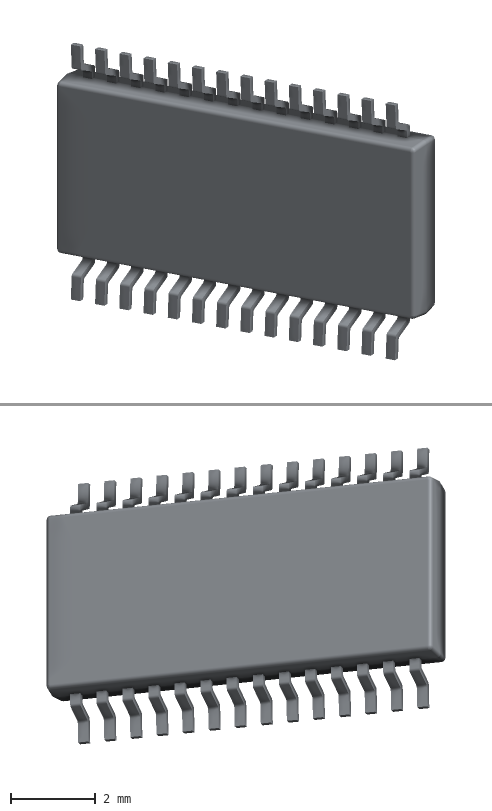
import cadquery as cq
import math


BODY_LENGTH = 9.7
BODY_HEIGHT = 4.4
BODY_THICKNESS = 1.1
DRAFT_ANGLE = 5.0
BODY_FILLET = 0.1

LEADS_PER_SIDE = 14
LEAD_PITCH = 0.65
LEAD_WIDTH = 0.25
LEAD_THICKNESS = 0.15
LEAD_SPAN = 6.42
LEAD_EMBED = 0.2
STANDOFF = 0.1
SHOULDER_FRONT_Y = -0.058
SHOULDER_BEND_Z = 2.385
LEG_ANGLE = 21.0
FOOT_TILT = 4.0
BEND_RADIUS = 0.075

BODY_HALF_THICKNESS = BODY_THICKNESS / 2
SEATING_Y = -BODY_HALF_THICKNESS - STANDOFF
TIP_Z = LEAD_SPAN / 2


def make_body():
    """Two tapered halves meeting at the parting plane, with corners and face rims rounded."""
    front_half = (
        cq.Workplane("XZ")
        .rect(BODY_LENGTH, BODY_HEIGHT)
        .extrude(BODY_HALF_THICKNESS, taper=DRAFT_ANGLE)
        .edges("not #Y")
        .fillet(BODY_FILLET)
        .faces("<Y")
        .edges()
        .fillet(BODY_FILLET)
    )
    return front_half.union(front_half.mirror("XZ"))


def lead_outline():
    """Corner points (Y, Z) of the sharp-cornered upper lead."""
    leg_slope = math.tan(math.radians(LEG_ANGLE))
    foot_slope = math.tan(math.radians(FOOT_TILT))
    leg_rise = LEAD_THICKNESS / math.cos(math.radians(LEG_ANGLE))
    foot_width = LEAD_THICKNESS / math.cos(math.radians(FOOT_TILT))

    def leg_z(y):
        return SHOULDER_BEND_Z + leg_slope * (SHOULDER_FRONT_Y - y)

    def foot_corner(tip_y, leg_offset):
        """Where a foot face starting at tip_y meets a leg face raised by leg_offset."""
        drop = TIP_Z - leg_z(tip_y) - leg_offset
        y = tip_y + drop * foot_slope / (1 - leg_slope * foot_slope)
        return y, leg_z(y) + leg_offset

    shoulder_back_y = SHOULDER_FRONT_Y + LEAD_THICKNESS
    root_z = BODY_HEIGHT / 2 - LEAD_EMBED
    foot_back_y = SEATING_Y + foot_width
    return [
        (SHOULDER_FRONT_Y, root_z),
        (SHOULDER_FRONT_Y, SHOULDER_BEND_Z),
        foot_corner(SEATING_Y, 0),
        (SEATING_Y, TIP_Z),
        (foot_back_y, TIP_Z),
        foot_corner(foot_back_y, leg_rise),
        (shoulder_back_y, leg_z(shoulder_back_y) + leg_rise),
        (shoulder_back_y, root_z),
    ]


def make_lead():
    """Upper lead centred on X = 0, with its four bend corners rounded."""
    outline = lead_outline()
    lead = cq.Workplane("YZ").polyline(outline).close().extrude(LEAD_WIDTH / 2, both=True)
    bend_corners = outline[1:3] + outline[5:7]
    for y, z in bend_corners:
        lead = lead.edges(cq.selectors.NearestToPointSelector((0, y, z))).fillet(BEND_RADIUS)
    return lead


def make_package():
    package = make_body()
    upper_lead = make_lead()
    lower_lead = upper_lead.mirror("XY")
    first_x = -LEAD_PITCH * (LEADS_PER_SIDE - 1) / 2
    for index in range(LEADS_PER_SIDE):
        offset = (first_x + index * LEAD_PITCH, 0, 0)
        package = package.union(upper_lead.translate(offset))
        package = package.union(lower_lead.translate(offset))
    return package


result = make_package()